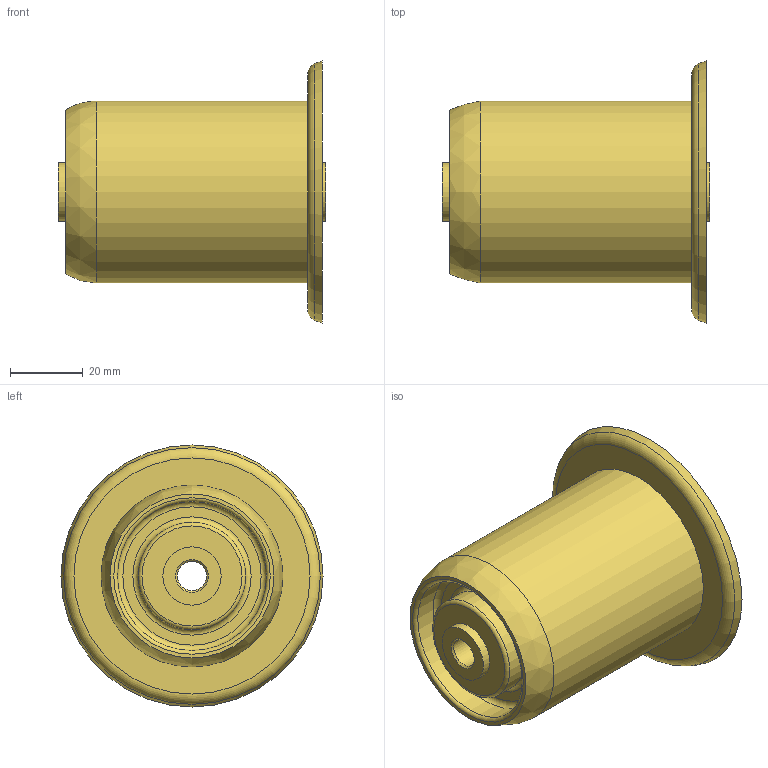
import cadquery as cq
import math

LENGTH = 73.5
X_START = -LENGTH / 2
X_END = LENGTH / 2

SLEEVE_RADIUS = 8.0
BORE_RADIUS = 4.0
BORE_CHAMFER = 0.5
SLEEVE_FRONT_PROJECTION = 2.0
SLEEVE_BACK_PROJECTION = 1.0

BARREL_RADIUS = 25.0
RIM_OUTER_RADIUS = 22.5
CROWN_RADIUS = 15.5

FLANGE_RADIUS = 36.0
FLANGE_THICKNESS = 4.0
FLANGE_FILLET = 3.0
FLANGE_TAPER = math.radians(20)

GROOVE_OUTER_RADIUS = 20.5
BOSS_RADIUS = 14.75
BOSS_SETBACK = 0.5
GROOVE_DEPTH = 8.5
GROOVE_EDGE_FILLET = 1.0
GROOVE_FLOOR_FILLET = 1.5

RIM_X = X_START + SLEEVE_FRONT_PROJECTION
BOSS_X = RIM_X + BOSS_SETBACK
GROOVE_FLOOR_X = RIM_X + GROOVE_DEPTH
FLANGE_BACK_X = X_END - SLEEVE_BACK_PROJECTION
FLANGE_FRONT_X = FLANGE_BACK_X - FLANGE_THICKNESS


def revolve_about_x(profile):
    """Revolve a closed (axial, radial) profile a full turn about the X axis."""
    return profile.close().revolve(360, (0, 0, 0), (1, 0, 0))


def ring(inner_radius, outer_radius, x_from, x_to):
    """Plain ring, or a solid cylinder when the inner radius is zero."""
    profile = (
        cq.Workplane("XZ")
        .moveTo(x_from, inner_radius)
        .lineTo(x_from, outer_radius)
        .lineTo(x_to, outer_radius)
        .lineTo(x_to, inner_radius)
    )
    return revolve_about_x(profile)


def barrel():
    """Solid barrel whose free end curves in tangentially to the rim."""
    crown_center_r = BARREL_RADIUS - CROWN_RADIUS
    rim_angle = math.asin((RIM_OUTER_RADIUS - crown_center_r) / CROWN_RADIUS)
    crown_end_x = RIM_X + CROWN_RADIUS * math.cos(rim_angle)
    mid_angle = (rim_angle + math.pi / 2) / 2
    crown_middle = (
        crown_end_x - CROWN_RADIUS * math.cos(mid_angle),
        crown_center_r + CROWN_RADIUS * math.sin(mid_angle),
    )
    profile = (
        cq.Workplane("XZ")
        .moveTo(RIM_X, 0)
        .lineTo(RIM_X, RIM_OUTER_RADIUS)
        .threePointArc(crown_middle, (crown_end_x, BARREL_RADIUS))
        .lineTo(FLANGE_BACK_X, BARREL_RADIUS)
        .lineTo(FLANGE_BACK_X, 0)
    )
    return revolve_about_x(profile)


def flange():
    """Disc with a tapered edge that blends into its front face through a fillet."""
    taper_front_radius = FLANGE_RADIUS - FLANGE_THICKNESS * math.tan(FLANGE_TAPER)
    profile = (
        cq.Workplane("XZ")
        .moveTo(FLANGE_FRONT_X, 0)
        .lineTo(FLANGE_FRONT_X, taper_front_radius)
        .lineTo(FLANGE_BACK_X, FLANGE_RADIUS)
        .lineTo(FLANGE_BACK_X, 0)
    )
    return revolve_about_x(profile).faces("<X").edges().fillet(FLANGE_FILLET)


def groove():
    """Material removed around the boss; its floor corners are rounded."""
    cutter = ring(BOSS_RADIUS, GROOVE_OUTER_RADIUS, RIM_X, GROOVE_FLOOR_X)
    return cutter.faces(">X").edges().fillet(GROOVE_FLOOR_FILLET)


def edge_rounding(wall_radius, face_x, side):
    """Cutter rounding a groove mouth edge; side is +1 for the rim and -1 for the boss."""
    shoulder_radius = wall_radius + side * GROOVE_EDGE_FILLET
    arc_inset = GROOVE_EDGE_FILLET * (1 - math.sqrt(0.5))
    profile = (
        cq.Workplane("XZ")
        .moveTo(face_x, wall_radius)
        .lineTo(face_x, shoulder_radius)
        .threePointArc(
            (face_x + arc_inset, wall_radius + side * arc_inset),
            (face_x + GROOVE_EDGE_FILLET, wall_radius),
        )
    )
    return revolve_about_x(profile)


def sleeve():
    """Axle sleeve running the full length of the part."""
    return ring(0, SLEEVE_RADIUS, X_START, X_END)


def bore():
    """Through bore with a chamfer at each mouth."""
    mouth_radius = BORE_RADIUS + BORE_CHAMFER
    profile = (
        cq.Workplane("XZ")
        .moveTo(X_START, 0)
        .lineTo(X_START, mouth_radius)
        .lineTo(X_START + BORE_CHAMFER, BORE_RADIUS)
        .lineTo(X_END - BORE_CHAMFER, BORE_RADIUS)
        .lineTo(X_END, mouth_radius)
        .lineTo(X_END, 0)
    )
    return revolve_about_x(profile)


body = barrel().union(flange())
body = body.cut(groove())
body = body.cut(ring(0, BOSS_RADIUS, RIM_X, BOSS_X))
body = body.cut(edge_rounding(GROOVE_OUTER_RADIUS, RIM_X, 1))
body = body.cut(edge_rounding(BOSS_RADIUS, BOSS_X, -1))
result = body.union(sleeve()).cut(bore())